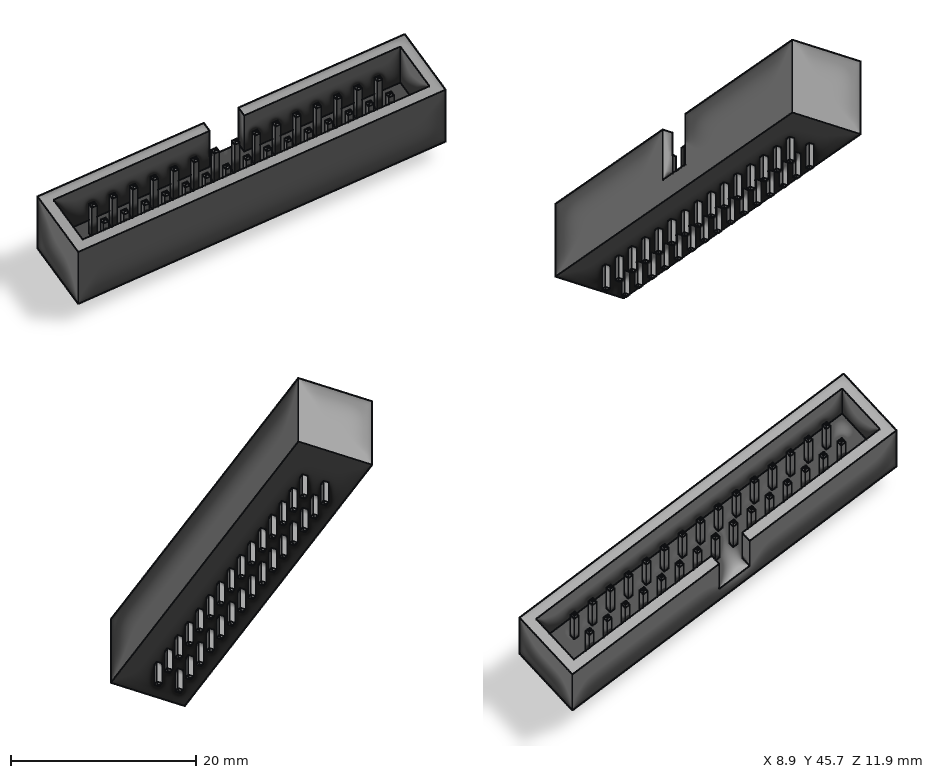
import cadquery as cq

housing_width = 8.9
housing_length = 45.7
housing_height = 8.9
wall = 1.3
cavity_depth = 6.15
key_slot_width = 4.3

pins_per_row = 15
pin_row_length = 35.52
pin_pitch = pin_row_length / (pins_per_row - 1)
pin_width = 0.65
pin_tail = 2.95
pin_top_gap = 0.9
tip_chamfer = 0.2

floor_height = housing_height - cavity_depth


def make_housing():
    """Open box whose -X wall is cut down to the cavity floor by the key slot."""
    block = cq.Workplane("XY").box(
        housing_width, housing_length, housing_height, centered=(True, True, False)
    )
    cavity = (
        cq.Workplane("XY", origin=(0, 0, floor_height))
        .rect(housing_width - 2 * wall, housing_length - 2 * wall)
        .extrude(cavity_depth)
    )
    key_slot = (
        cq.Workplane("XY", origin=((wall - housing_width) / 2, 0, floor_height))
        .rect(wall, key_slot_width)
        .extrude(cavity_depth)
    )
    return block.cut(cavity).cut(key_slot)


def make_pin():
    """Square pin on the Z axis with a tapered tip at both ends."""
    pin_length = pin_tail + housing_height - pin_top_gap
    return (
        cq.Workplane("XY", origin=(0, 0, -pin_tail))
        .rect(pin_width, pin_width)
        .extrude(pin_length)
        .faces("<Z or >Z")
        .chamfer(tip_chamfer)
    )


def place_pins(pin):
    """Two rows of pins, one pitch apart, running along Y."""
    pin_places = cq.Workplane("XY").rarray(pin_pitch, pin_pitch, 2, pins_per_row)
    return pin_places.eachpoint(lambda place: pin.val().moved(place))


result = make_housing().union(place_pins(make_pin()))